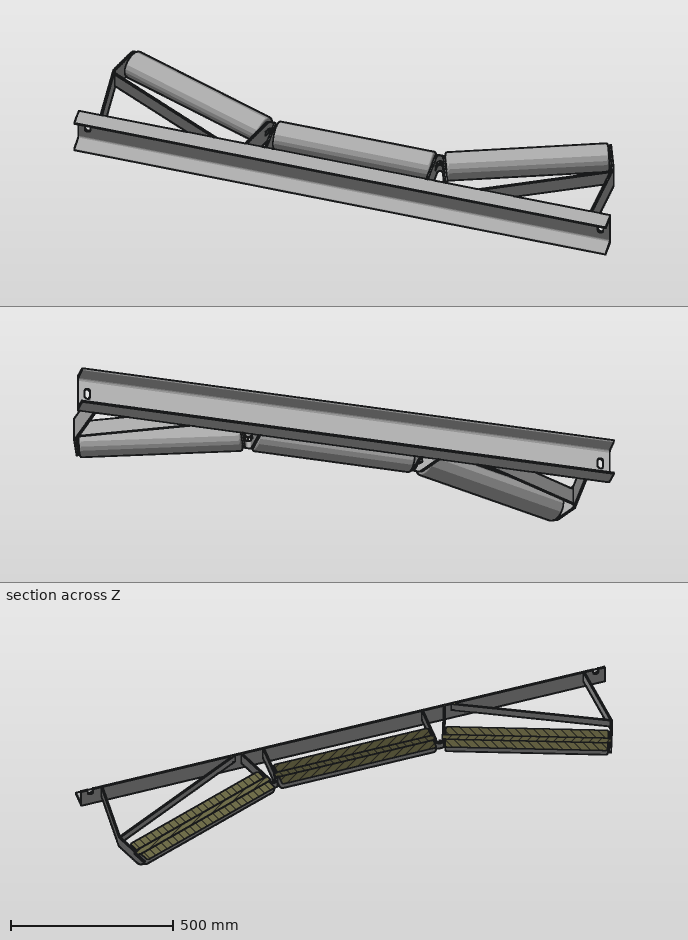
import cadquery as cq
import math

channel_length = 1700.0
channel_height = 120.0
flange_width = 55.0
web_thickness = 7.0
flange_thickness = 9.0
flange_slope = 0.08
root_radius = 9.0
toe_radius = 4.5
mount_slot_width = 18.0
mount_slot_height = 36.0
mount_slot_edge = 30.0

trough_angle = 20.0
roller_diameter = 89.0
roller_length = 502.0
roller_end_radius = 7.0
shaft_diameter = 18.0
shaft_flats = 16.0
middle_roller_y = 117.0
side_roller_x = 526.0
side_roller_top = 337.37

bar_width = 76.0
bar_thickness = 6.0
bracket_gap = 4.0
bend_radius = 12.0
elbow_drop = 86.0
outer_foot_x = 782.0
brace_width = 50.0
brace_foot_x = 350.0

plate_offset = roller_length / 2 + bracket_gap + bar_thickness / 2
shaft_length = 2 * plate_offset + bar_thickness
foot_y = -web_thickness / 2
angle_sin = math.sin(math.radians(trough_angle))
angle_cos = math.cos(math.radians(trough_angle))

side_roller_y = (
    side_roller_top
    - (roller_length / 2 - roller_end_radius) * angle_sin
    - (roller_diameter / 2 - roller_end_radius) * angle_cos
    - roller_end_radius
)


def side_point(along, up):
    """Point in the left roller's frame: along its axis toward the middle, and up across it."""
    return (
        -side_roller_x + along * angle_cos + up * angle_sin,
        side_roller_y - along * angle_sin + up * angle_cos,
    )


def place_left(body):
    """Move a body built along X at the origin onto the left roller's axis."""
    return body.rotate((0, 0, 0), (0, 0, 1), -trough_angle).translate((-side_roller_x, side_roller_y, 0))


def mirrored(body):
    return body.mirror("YZ")


def make_channel():
    half = channel_height / 2
    toe = flange_thickness - flange_slope * flange_width / 2
    root = flange_thickness + flange_slope * (flange_width / 2 - web_thickness)
    outline = [
        (0, -half),
        (-flange_width, -half),
        (-flange_width, -half + toe),
        (-web_thickness, -half + root),
        (-web_thickness, half - root),
        (-flange_width, half - toe),
        (-flange_width, half),
        (0, half),
    ]
    channel = cq.Workplane("YZ").polyline(outline).close().extrude(channel_length)
    channel = channel.translate((-channel_length / 2, 0, 0))
    inner_roots = cq.selectors.BoxSelector(
        (-channel_length, -web_thickness - 1, -half + 1), (channel_length, -web_thickness + 1, half - 1)
    )
    inner_toes = cq.selectors.BoxSelector(
        (-channel_length, -flange_width - 1, -half + 1), (channel_length, -flange_width + 1, half - 1)
    )
    channel = channel.edges("|X").edges(inner_roots).fillet(root_radius)
    channel = channel.edges("|X").edges(inner_toes).fillet(toe_radius)
    slot_x = channel_length / 2 - mount_slot_edge
    slots = (
        cq.Workplane("XZ")
        .pushPoints([(-slot_x, 0), (slot_x, 0)])
        .slot2D(mount_slot_height, mount_slot_width, 90)
        .extrude(web_thickness)
    )
    return channel.cut(slots)


def make_bar(start, end, width):
    """Flat bar along a centreline in the XY plane, its width along Z."""
    run = (end[0] - start[0], end[1] - start[1])
    length = math.hypot(*run)
    angle = math.degrees(math.atan2(run[1], run[0]))
    bar = cq.Workplane("XY").box(length, bar_thickness, width, centered=(False, True, True))
    return bar.rotate((0, 0, 0), (0, 0, 1), angle).translate((start[0], start[1], 0))


def make_shaft_slot():
    """Slot open upward that seats one shaft end, for a roller at the origin along X."""
    return (
        cq.Workplane("XY")
        .box(bar_thickness * 3, bar_width, shaft_flats, centered=(True, False, True))
        .translate((0, -shaft_diameter / 2, 0))
    )


def make_round_tip(drop, thickness):
    """Upright plate facing X, rounded around a shaft at the origin and reaching down by the drop."""
    return (
        cq.Workplane("YZ")
        .moveTo(-drop, -bar_width / 2)
        .lineTo(0, -bar_width / 2)
        .threePointArc((bar_width / 2, 0), (0, bar_width / 2))
        .lineTo(-drop, bar_width / 2)
        .close()
        .extrude(thickness)
        .translate((-thickness / 2, 0, 0))
    )


def make_outer_bracket():
    tip = make_round_tip(elbow_drop, bar_thickness).cut(make_shaft_slot()).translate((-plate_offset, 0, 0))
    elbow = side_point(-plate_offset, -elbow_drop)
    elbow_round = cq.Workplane("XY", origin=(*elbow, -bar_width / 2)).circle(bar_thickness / 2).extrude(bar_width)
    leg = make_bar(elbow, (-outer_foot_x, foot_y), bar_width)
    brace = make_bar(elbow, (-brace_foot_x, foot_y), brace_width)
    return place_left(tip).union(elbow_round).union(leg).union(brace)


def make_inner_bracket():
    bend_x = -plate_offset - bend_radius
    bend_along = plate_offset + bend_radius
    bend_up = (bend_x - side_point(bend_along, 0)[0]) / angle_sin
    bend_y = side_point(bend_along, bend_up)[1]
    mid_angle = math.radians(trough_angle / 2)

    def leg_and_bend_points(offset):
        """Upright foot, bend start, bend middle, bend end and tilted foot at an offset outward of the bend."""
        radius = bend_radius + offset
        along = plate_offset - offset
        tilted_foot_up = (foot_y - side_point(along, 0)[1]) / angle_cos
        return [
            (bend_x + radius, foot_y),
            (bend_x + radius, bend_y),
            (bend_x - radius * math.sin(mid_angle), bend_y + radius * math.cos(mid_angle)),
            side_point(along, bend_up),
            side_point(along, tilted_foot_up),
        ]

    outer = leg_and_bend_points(bar_thickness / 2)
    inner = leg_and_bend_points(-bar_thickness / 2)
    bracket = (
        cq.Workplane("XY", origin=(0, 0, -bar_width / 2))
        .moveTo(*outer[0])
        .lineTo(*outer[1])
        .threePointArc(outer[2], outer[3])
        .lineTo(*outer[4])
        .lineTo(*inner[4])
        .lineTo(*inner[3])
        .threePointArc(inner[2], inner[1])
        .lineTo(*inner[0])
        .close()
        .extrude(bar_width)
    )
    middle_slot = make_shaft_slot().translate((-plate_offset, middle_roller_y, 0))
    side_slot = place_left(make_shaft_slot().translate((plate_offset, 0, 0)))
    rounded_top = make_round_tip(middle_roller_y - foot_y, channel_length).translate((0, middle_roller_y, 0))
    bracket = bracket.intersect(rounded_top)
    return bracket.cut(middle_slot).cut(side_slot)


def make_frame():
    frame = make_channel()
    for bracket in (make_outer_bracket(), make_inner_bracket()):
        frame = frame.union(bracket).union(mirrored(bracket))
    return frame


def make_roller():
    return (
        cq.Workplane("YZ")
        .circle(roller_diameter / 2)
        .circle(shaft_diameter / 2)
        .extrude(roller_length)
        .translate((-roller_length / 2, 0, 0))
        .edges(cq.selectors.RadiusNthSelector(-1))
        .fillet(roller_end_radius)
    )


def make_shaft():
    shaft = cq.Workplane("YZ").circle(shaft_diameter / 2).extrude(shaft_length)
    shaft = shaft.translate((-shaft_length / 2, 0, 0))
    flat_end = (
        cq.Workplane("YZ")
        .rect(shaft_diameter, shaft_diameter)
        .rect(shaft_diameter, shaft_flats)
        .extrude(bar_thickness)
    )
    left_flats = flat_end.translate((-shaft_length / 2, 0, 0))
    return shaft.cut(left_flats).cut(mirrored(left_flats))


def place_three(body):
    """Copies of a body on the left, middle and right roller axes."""
    left = place_left(body)
    middle = body.translate((0, middle_roller_y, 0))
    return [left, middle, mirrored(left)]


frame = make_frame()
rollers = place_three(make_roller())
shafts = place_three(make_shaft())

result = cq.Compound.makeCompound(
    [frame.val()] + [roller.val() for roller in rollers] + [shaft.val() for shaft in shafts]
)